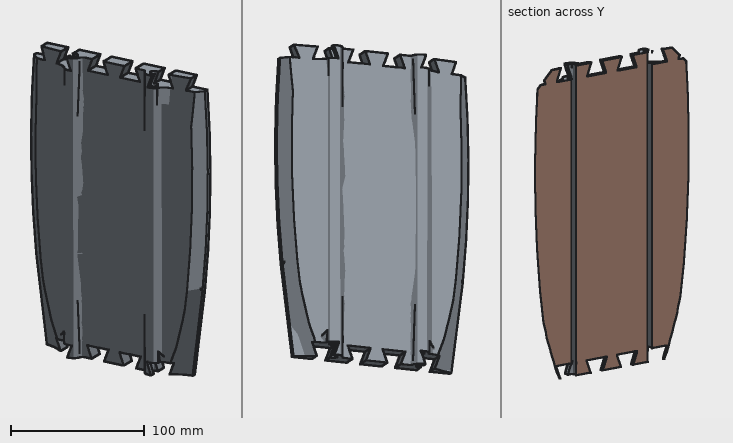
import cadquery as cq
import math

length = 240.0
max_half_width = 154.07 / 2
plate_depth = 12.0
top_z = length / 2
bottom_z = -length / 2

side_radius = 900.0
widest_z = top_z - 78.5
arc_end_z = top_z - 170
bottom_half_width = 63.5

edge_depth = 4.0
bevel_width = 8.7

rib_x = 35.0
rib_radius = 7.0
bore_diameter = 6.25
blend_radius = 20.0
end_blend_radius = 3.0
blend_overlap = 0.02

joint_height = 10.0
joint_pitch = 28.0
joint_wide = 18.4
joint_narrow = 10.8
tooth_count = 5
notch_count = 4
shoulder_z = top_z - joint_height

relief_slope = 0.1
relief_corner_z = top_z - 23
relief_run = 14.7
relief_rise = 14.3
relief_inner_x = 40.4
relief_inner_share = 1 / 3

scoop_sag_ratio = 0.08
scoop_lap = 0.5
scoop_stations = [
    (top_z - 168, 70.6, 6.1, 33),
    (top_z - 192, 64.4, 8.9, 26.5),
    (top_z - 216, 54.4, plate_depth, 17.8),
    (bottom_z, 47.0, 10.5, 10.8),
]
scoop_wall_x = 41.0

margin = 50.0


def half_width(z):
    """Half of the panel width at height z."""
    if z >= arc_end_z:
        return max_half_width - side_radius + math.sqrt(side_radius**2 - (z - widest_z) ** 2)
    share = (z - bottom_z) / (arc_end_z - bottom_z)
    return bottom_half_width + share * (half_width(arc_end_z) - bottom_half_width)


def both_sides(body):
    """The body together with its mirror image across the YZ plane."""
    return body.union(body.mirror("YZ"))


def blend_reach(radius, tube_radius=rib_radius):
    """Distance from the rib axis to the point where a blend meets the plate."""
    return math.sqrt((tube_radius + radius) ** 2 - radius**2)


outer_foot_x = rib_x + blend_reach(blend_radius)


def blend_outline(z, radius, direction, tube_radius=rib_radius):
    """Corner between rib and plate at height z, closed by an arc tangent to the plate and the tube.

    The corner is on the outer side of the rib for direction 1 and on the inner side for -1.
    """
    reach = blend_reach(radius, tube_radius)
    centre_x = rib_x + direction * reach
    centre_y = -plate_depth - radius
    rib_angle = math.atan2(radius, reach)
    middle_angle = (math.pi / 2 + rib_angle) / 2
    root_y = -plate_depth / 2

    def arc_point(angle):
        return (centre_x - direction * radius * math.cos(angle), centre_y + radius * math.sin(angle))

    return (
        cq.Workplane("XY", origin=(0, 0, z))
        .moveTo(rib_x, root_y)
        .lineTo(centre_x, root_y)
        .lineTo(centre_x, -plate_depth)
        .threePointArc(arc_point(middle_angle), arc_point(rib_angle))
        .lineTo(rib_x, -plate_depth)
        .close()
    )


def make_plate():
    """Flat panel with curved sides and bevelled front edges."""
    top_half = half_width(top_z)
    arc_end_half = half_width(arc_end_z)
    plate = (
        cq.Workplane("XZ")
        .moveTo(-top_half, top_z)
        .lineTo(top_half, top_z)
        .threePointArc((max_half_width, widest_z), (arc_end_half, arc_end_z))
        .lineTo(bottom_half_width, bottom_z)
        .lineTo(-bottom_half_width, bottom_z)
        .lineTo(-arc_end_half, arc_end_z)
        .threePointArc((-max_half_width, widest_z), (-top_half, top_z))
        .close()
        .extrude(plate_depth)
    )
    side_edges = plate.faces("<Y").edges("not |X")
    return side_edges.chamfer(plate_depth - edge_depth, bevel_width)


def make_rib():
    """Round rib with a constant outer blend."""
    tube = cq.Workplane("XY", origin=(rib_x, -plate_depth, bottom_z)).circle(rib_radius).extrude(length)
    return tube.union(blend_outline(bottom_z, blend_radius, 1).extrude(length))


def make_inner_blend():
    """Inner blend of the rib, widest at mid-length and tight at both ends."""
    quarter_radius = (blend_radius + end_blend_radius) / 2
    radii = [end_blend_radius, quarter_radius, blend_radius, quarter_radius, end_blend_radius]
    step = length / (len(radii) - 1)
    sections = []
    for i, radius in enumerate(radii):
        outline = blend_outline(bottom_z + i * step, radius, -1, rib_radius - blend_overlap)
        sections.append(outline.wires().val())
    return cq.Workplane(cq.Solid.makeLoft(sections))


def make_bore():
    """Through hole along the rib axis."""
    start = cq.Workplane("XY", origin=(rib_x, -plate_depth, bottom_z))
    return start.circle(bore_diameter / 2).extrude(length)


def make_corner_relief():
    """Tilted flat that thins the plate at an upper corner, outside the rib blend."""
    diagonal = cq.Vector(relief_run, 0, -relief_rise).normalized()
    uphill = cq.Vector(-diagonal.z, 0, diagonal.x)
    fall = relief_slope / uphill.z
    normal = cq.Vector(fall * uphill.x, -1, fall * uphill.z)
    plane = cq.Plane(origin=(outer_foot_x, -plate_depth, relief_corner_z), xDir=diagonal, normal=normal)
    slab = cq.Workplane(plane).rect(length, length).extrude(margin)
    outside = cq.Workplane("XY", origin=(outer_foot_x + margin, 0, bottom_z))
    return slab.intersect(outside.rect(2 * margin, length).extrude(length))


def blend_relief_section(z):
    """Open space in front of the outer rib blend, deepened with height."""
    drop = relief_slope * (z - relief_corner_z)
    centre_y = -plate_depth - blend_radius

    def blend_y(x):
        return centre_y + math.sqrt(blend_radius**2 - (outer_foot_x - x) ** 2)

    middle_x = (outer_foot_x + relief_inner_x) / 2
    inner_y = blend_y(relief_inner_x) + relief_inner_share * drop
    return (
        cq.Workplane("XY", origin=(0, 0, z))
        .moveTo(outer_foot_x, -plate_depth + drop)
        .threePointArc((middle_x, blend_y(middle_x) + drop), (relief_inner_x, inner_y))
        .lineTo(relief_inner_x, -margin)
        .lineTo(outer_foot_x, -margin)
        .close()
        .wires()
        .val()
    )


def make_blend_relief():
    """Shallow cut that lowers the upper end of the outer rib blend."""
    sections = [blend_relief_section(z) for z in (relief_corner_z, top_z)]
    return cq.Workplane(cq.Solid.makeLoft(sections, True))


def scoop_section(z, inner_x, inner_depth, wall_depth):
    """Space in front of a concave line from the side edge inwards, closed by a wall at the rib."""
    edge_x = half_width(z) + scoop_lap
    start_depth = edge_depth - scoop_lap
    middle_x = (edge_x + inner_x) / 2
    middle_depth = (start_depth + inner_depth) / 2 - scoop_sag_ratio * (edge_x - inner_x)
    return (
        cq.Workplane("XY", origin=(0, 0, z))
        .moveTo(edge_x + margin, -start_depth)
        .lineTo(edge_x, -start_depth)
        .threePointArc((middle_x, -middle_depth), (inner_x, -inner_depth))
        .lineTo(scoop_wall_x, -wall_depth)
        .lineTo(scoop_wall_x, -margin)
        .lineTo(edge_x + margin, -margin)
        .close()
        .wires()
        .val()
    )


def make_scoop():
    """Dished cut that starts on the side bevel and widens towards the bottom."""
    sections = [scoop_section(*station) for station in scoop_stations]
    return cq.Workplane(cq.Solid.makeLoft(sections))


def dovetails(count, base_z):
    """Row of dovetail prisms that widen upwards from base_z."""
    row = cq.Workplane("XZ", origin=(0, margin, 0))
    for i in range(count):
        centre_x = (i - (count - 1) / 2) * joint_pitch
        row = row.polyline(
            [
                (centre_x - joint_narrow / 2, base_z),
                (centre_x + joint_narrow / 2, base_z),
                (centre_x + joint_wide / 2, base_z + joint_height),
                (centre_x - joint_wide / 2, base_z + joint_height),
            ]
        ).close()
    return row.extrude(2 * margin)


def make_top_gaps():
    """Everything above the shoulders except the teeth."""
    strip = cq.Workplane("XY", origin=(0, 0, shoulder_z)).rect(length, 2 * margin).extrude(joint_height)
    return strip.cut(dovetails(tooth_count, shoulder_z))


result = make_plate().union(both_sides(make_rib())).union(both_sides(make_inner_blend()))
for cutter in (make_bore(), make_corner_relief(), make_blend_relief(), make_scoop()):
    result = result.cut(cutter).cut(cutter.mirror("YZ"))
result = result.cut(make_top_gaps())
result = result.cut(dovetails(notch_count, bottom_z))